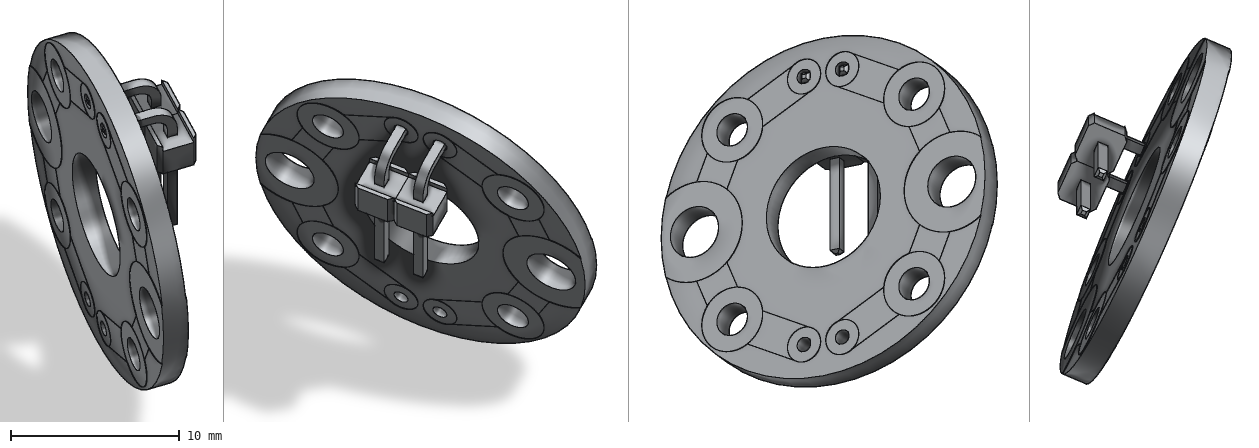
import cadquery as cq
import math

BOARD_RADIUS = 10.8
BOARD_THICKNESS = 1.51
COPPER_HEIGHT = 0.05
TRACE_HEIGHT = 0.02
CENTRE_HOLE_RADIUS = 3.8

PAD_CIRCLE_RADIUS = 8.57
SIDE_PAD_RADIUS = 3.17
SIDE_HOLE_RADIUS = 1.6
DIAGONAL_PAD_RADIUS = 2.03
DIAGONAL_HOLE_RADIUS = 1.01
PIN_PAD_RADIUS = 1.1
PIN_HOLE_RADIUS = 0.45
TRACE_WIDTH = 2.18

PIN_PITCH = 2.55
PIN_SIZE = 0.63
PIN_BEND_INNER_RADIUS = 0.9
PIN_TIP_LENGTH = 0.205
PIN_TIP_INSET = 0.184
PIN_BOTTOM_Z = -1.25
HOUSING_LENGTH = 2.48
HOUSING_BOTTOM_Z = 4.77
HOUSING_HEIGHT = 2.29
HOUSING_RECESS_DEPTH = 0.35
LIP_THICKNESS = 0.25
LIP_INSET = 0.3
OVERALL_DEPTH = 5.5

FRONT_Y = -(BOARD_THICKNESS / 2 + COPPER_HEIGHT)
HOUSING_BACK_Y = FRONT_Y + OVERALL_DEPTH
PIN_Y = HOUSING_BACK_Y - HOUSING_LENGTH / 2
PIN_X = PIN_PITCH / 2
PIN_Z = PAD_CIRCLE_RADIUS
DIAGONAL_OFFSET = PAD_CIRCLE_RADIUS * math.cos(math.radians(45))

SIGNS = (1, -1)
SIDE_CENTRES = [(sx * PAD_CIRCLE_RADIUS, 0) for sx in SIGNS]
DIAGONAL_CENTRES = [(sx * DIAGONAL_OFFSET, sz * DIAGONAL_OFFSET) for sx in SIGNS for sz in SIGNS]
PIN_CENTRES = [(sx * PIN_X, sz * PIN_Z) for sx in SIGNS for sz in SIGNS]
PADS = (
    (SIDE_CENTRES, SIDE_PAD_RADIUS, SIDE_HOLE_RADIUS),
    (DIAGONAL_CENTRES, DIAGONAL_PAD_RADIUS, DIAGONAL_HOLE_RADIUS),
    (PIN_CENTRES, PIN_PAD_RADIUS, PIN_HOLE_RADIUS),
)


def layer(thickness):
    """A workplane on which a one-way extrusion of this thickness straddles the board's mid-plane."""
    return cq.Workplane(cq.Plane(origin=(0, -thickness / 2, 0), xDir=(0, 0, 1), normal=(0, 1, 0)))


def discs(centres, radius, thickness):
    """Discs facing along Y, centred on the board's mid-plane, at (x, z) centres."""
    points = [(z, x) for x, z in centres]
    return layer(thickness).pushPoints(points).circle(radius).extrude(thickness)


def trace(start, end):
    """A straight strip joining two (x, z) pad centres, on both faces of the board."""
    run = end[0] - start[0]
    rise = end[1] - start[1]
    thickness = BOARD_THICKNESS + 2 * TRACE_HEIGHT
    return (
        layer(thickness)
        .center((start[1] + end[1]) / 2, (start[0] + end[0]) / 2)
        .transformed(rotate=(0, 0, math.degrees(math.atan2(run, rise))))
        .rect(math.hypot(run, rise), TRACE_WIDTH)
        .extrude(thickness)
    )


def make_board():
    """A drilled disc with raised pads and lower traces on both faces, trimmed to the disc's rim."""
    copper_thickness = BOARD_THICKNESS + 2 * COPPER_HEIGHT
    board = discs([(0, 0)], BOARD_RADIUS, BOARD_THICKNESS)
    for sx in SIGNS:
        for sz in SIGNS:
            side = (sx * PAD_CIRCLE_RADIUS, 0)
            diagonal = (sx * DIAGONAL_OFFSET, sz * DIAGONAL_OFFSET)
            pin = (sx * PIN_X, sz * PIN_Z)
            board = board.union(trace(side, diagonal)).union(trace(diagonal, pin))
    rim = discs([(0, 0)], BOARD_RADIUS, copper_thickness)
    for centres, pad_radius, _ in PADS:
        board = board.union(discs(centres, pad_radius, copper_thickness).intersect(rim))
    board = board.cut(discs([(0, 0)], CENTRE_HOLE_RADIUS, copper_thickness))
    for centres, _, hole_radius in PADS:
        board = board.cut(discs(centres, hole_radius, copper_thickness))
    return board


def pin_tip(plane):
    """A tapered square end growing along the normal of the given plane."""
    end_size = PIN_SIZE - 2 * PIN_TIP_INSET
    return (
        cq.Workplane(plane)
        .rect(PIN_SIZE, PIN_SIZE)
        .workplane(offset=PIN_TIP_LENGTH)
        .rect(end_size, end_size)
        .loft(ruled=True)
    )


def make_pin(x):
    """A square wire running back out of the board, bent down, and tapered at both ends."""
    bend_radius = PIN_BEND_INNER_RADIUS + PIN_SIZE / 2
    tip_base_y = FRONT_Y + PIN_TIP_LENGTH
    tip_base_z = PIN_BOTTOM_Z + PIN_TIP_LENGTH
    path = (
        cq.Workplane("YZ", origin=(x, 0, 0))
        .moveTo(tip_base_y, PIN_Z)
        .lineTo(PIN_Y - bend_radius, PIN_Z)
        .radiusArc((PIN_Y, PIN_Z - bend_radius), bend_radius)
        .lineTo(PIN_Y, tip_base_z)
    )
    front_plane = cq.Plane(origin=(x, tip_base_y, PIN_Z), xDir=(1, 0, 0), normal=(0, -1, 0))
    bottom_plane = cq.Plane(origin=(x, PIN_Y, tip_base_z), xDir=(1, 0, 0), normal=(0, 0, -1))
    wire = cq.Workplane(front_plane).rect(PIN_SIZE, PIN_SIZE).sweep(path)
    return wire.union(pin_tip(front_plane)).union(pin_tip(bottom_plane))


def make_housing(x):
    """A corner-chamfered block, its top recessed between front and back lips, bored for the pin."""
    half_width = PIN_PITCH / 2
    half_length = HOUSING_LENGTH / 2
    lip_y = half_length - LIP_THICKNESS
    lip_x = half_width - LIP_INSET
    housing = (
        cq.Workplane("XY", origin=(x, PIN_Y, HOUSING_BOTTOM_Z))
        .polyline([
            (half_width, -lip_y), (half_width, lip_y), (lip_x, half_length), (-lip_x, half_length),
            (-half_width, lip_y), (-half_width, -lip_y), (-lip_x, -half_length), (lip_x, -half_length),
        ])
        .close()
        .extrude(HOUSING_HEIGHT)
    )
    recess = (
        cq.Workplane("XY", origin=(x, PIN_Y, HOUSING_BOTTOM_Z + HOUSING_HEIGHT - HOUSING_RECESS_DEPTH))
        .rect(PIN_PITCH, 2 * lip_y)
        .extrude(HOUSING_RECESS_DEPTH)
    )
    bore = (
        cq.Workplane("XY", origin=(x, PIN_Y, HOUSING_BOTTOM_Z))
        .rect(PIN_SIZE, PIN_SIZE)
        .extrude(HOUSING_HEIGHT)
    )
    return housing.cut(recess).cut(bore)


board = make_board()
pins = [make_pin(sx * PIN_X) for sx in SIGNS]
housings = [make_housing(sx * PIN_X) for sx in SIGNS]

result = cq.Compound.makeCompound(
    [board.val()] + [pin.val() for pin in pins] + [housing.val() for housing in housings]
)